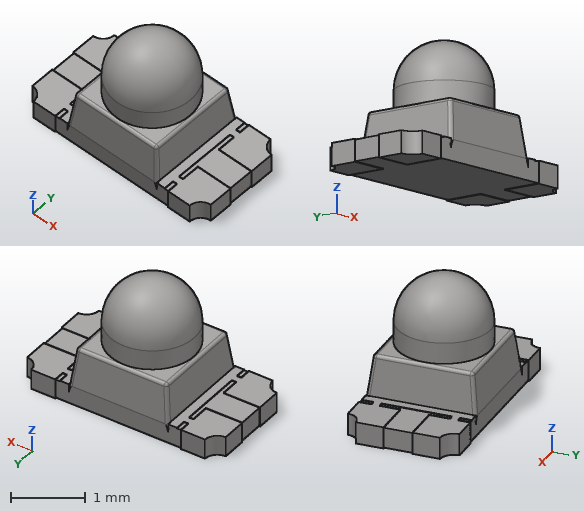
import cadquery as cq
import math

length = 3.22
width = 1.62
height = 1.9

plating = 0.01
board_length = length - 2 * plating
board_width = width - 2 * plating
pad_top = 0.32
board_top = pad_top - plating

pad_inner_x = 1.018
pad_inner_y = 0.21
corner_notch_radius = 0.2

tab_inner_y = 0.51
tab_width = 0.122

strip_length = 1.9

body_length = 1.61
body_top = 0.908
body_root = 0.13
body_draft = 7.0
body_fillet = 0.05

lens_radius = 0.68
lens_center_z = height - lens_radius


def block(x_size, y_size, z_low, z_high):
    """Box centred on the Z axis between two heights."""
    return (
        cq.Workplane("XY")
        .workplane(offset=z_low)
        .rect(x_size, y_size)
        .extrude(z_high - z_low)
    )


def make_corner_pad(x_side, y_side):
    """Pad wrapping one board corner, with its tab to the raised strip."""
    pad = cq.Workplane("XY").box(
        length / 2 - pad_inner_x, width / 2 - pad_inner_y, pad_top, centered=False
    ).translate((pad_inner_x, pad_inner_y, 0))
    strip_edge = strip_length / 2
    tab = cq.Workplane("XY").box(
        pad_inner_x - strip_edge, tab_width, plating, centered=False
    ).translate((strip_edge, tab_inner_y, board_top))
    corner = pad.union(tab)
    if x_side < 0:
        corner = corner.mirror("YZ")
    if y_side < 0:
        corner = corner.mirror("XZ")
    return corner


def make_base():
    """Board with raised strip and four pads, its corners notched by round cuts."""
    base = block(board_length, board_width, plating, board_top)
    base = base.union(block(strip_length, board_width, board_top, pad_top))
    for x_side in (-1, 1):
        for y_side in (-1, 1):
            base = base.union(make_corner_pad(x_side, y_side))
    notches = (
        cq.Workplane("XY")
        .rect(length, width, forConstruction=True)
        .vertices()
        .circle(corner_notch_radius)
        .extrude(pad_top)
    )
    return base.cut(notches)


def make_body():
    """Drafted block with rounded corners and top rim, trimmed to the board width."""
    slope = math.tan(math.radians(body_draft))
    root_length = body_length + 2 * slope * (pad_top - body_root)
    root_width = board_width + 2 * slope * (board_top - body_root)
    body = (
        cq.Workplane("XY")
        .workplane(offset=body_root)
        .rect(root_length, root_width)
        .extrude(body_top - body_root, taper=body_draft)
    )
    body = body.edges("not <Z").fillet(body_fillet)
    return body.intersect(block(body_length, board_width, body_root, body_top))


def make_lens():
    """Cylinder closed by a hemisphere of the same radius."""
    column = (
        cq.Workplane("XY")
        .workplane(offset=pad_top)
        .circle(lens_radius)
        .extrude(lens_center_z - pad_top)
    )
    dome = cq.Workplane("XY").sphere(lens_radius).translate((0, 0, lens_center_z))
    return column.union(dome)


body_bed = block(body_length, board_width, body_root, pad_top)
result = make_base().cut(body_bed).union(make_body()).union(make_lens())